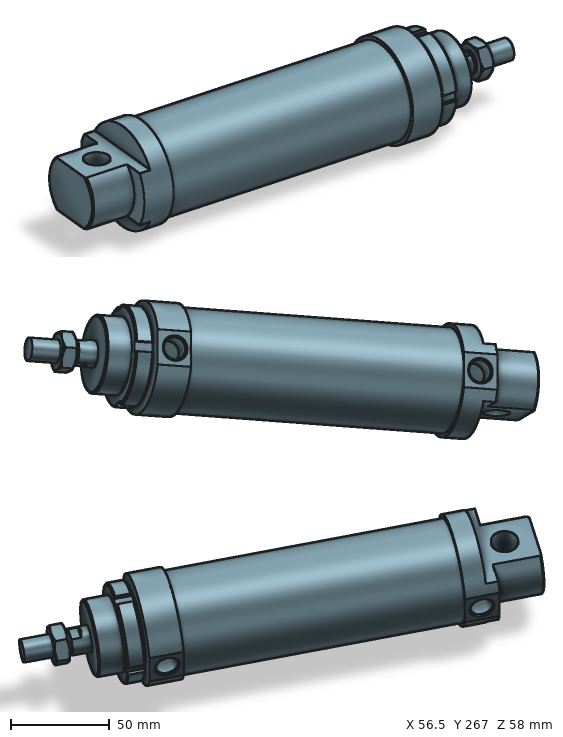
import cadquery as cq
import math

LENGTH = 267.0

TUBE_DIA = 54.0
CAP_DIA = 58.0
BOSS_DIA = 40.0
BOSS_CHAMFER = 0.8
CLEVIS_THICKNESS = 30.0
CLEVIS_HOLE_DIA = 14.0
CLEVIS_HOLE_Y = 16.0
REAR_CAP_START = 25.4
REAR_STEP_Y = 31.8
CAP_LENGTH = 18.0
REAR_CAP_END = REAR_CAP_START + CAP_LENGTH
FRONT_CAP_END = 207.5
FRONT_CAP_START = FRONT_CAP_END - CAP_LENGTH
BOSS_END = 232.0

PORT_FLAT_X = -27.5
PORT_DIA = 11.5
PORT_MOUTH_DIA = 13.0
PORT_DEPTH = 10.7
REAR_PORT_Y = 34.5
FRONT_PORT_Y = 198.0

ROD_DIA = 14.0
ROD_THREAD_DIA = 12.0
ROD_NECK_DIA = 10.1
ROD_FLAT_WIDTH = 12.0
ROD_SHOULDER_Y = 242.2
ROD_FLAT_END_Y = 237.0
ROD_START = FRONT_CAP_START

HEX_ACROSS_FLATS = 19.0
HEX_THICKNESS = 7.5
HEX_START = 244.3
HEX_CHAMFER_ANGLE = 30.0

RING_DIA = 52.0
RING_THICKNESS = 9.5
RING_START = 209.0
RING_CHAMFER = 0.8
SLOT_COUNT = 4
SLOT_WIDTH = 5.3
SLOT_DEPTH = 2.1


def cylinder(diameter, start, end):
    """Cylinder on the Y axis from Y = start to Y = end."""
    return cq.Workplane("XZ", origin=(0, start, 0)).circle(diameter / 2).extrude(start - end)


def block(size_x, start, end, size_z):
    """Box centred on the Y axis from Y = start to Y = end."""
    return cq.Workplane("XY").box(size_x, end - start, size_z).translate((0, (start + end) / 2, 0))


def make_port(port_y):
    """Drill volume of one air port: a blind hole with a 45 degree mouth."""
    mouth = (PORT_MOUTH_DIA - PORT_DIA) / 2
    plane = cq.Workplane("YZ", origin=(PORT_FLAT_X, port_y, 0))
    hole = plane.circle(PORT_DIA / 2).extrude(PORT_DEPTH)
    cone = plane.circle(PORT_MOUTH_DIA / 2).workplane(offset=mouth).circle(PORT_DIA / 2).loft()
    return hole.union(cone)


def make_cap(start, end):
    """Cap with a flat on its -X side."""
    cap = cylinder(CAP_DIA, start, end)
    keep = block(CAP_DIA, start, end, CAP_DIA).translate((PORT_FLAT_X + CAP_DIA / 2, 0, 0))
    return cap.intersect(keep)


def make_rear_end():
    """Rear cap and the clevis that shares its two flats."""
    clevis = cylinder(BOSS_DIA, 0, REAR_CAP_START).faces("<Y").chamfer(BOSS_CHAMFER)
    slab = block(CAP_DIA, 0, REAR_STEP_Y, CLEVIS_THICKNESS)
    collar = make_cap(REAR_CAP_START, REAR_STEP_Y)
    hole = (
        cq.Workplane("XY")
        .center(0, CLEVIS_HOLE_Y)
        .circle(CLEVIS_HOLE_DIA / 2)
        .extrude(CLEVIS_THICKNESS / 2, both=True)
    )
    flatted = clevis.union(collar).intersect(slab).cut(hole)
    return flatted.union(make_cap(REAR_STEP_Y, REAR_CAP_END))


def make_housing():
    tube = cylinder(TUBE_DIA, REAR_CAP_END, FRONT_CAP_START)
    boss = cylinder(BOSS_DIA, FRONT_CAP_END, BOSS_END).faces(">Y").chamfer(BOSS_CHAMFER)
    housing = make_rear_end().union(tube).union(make_cap(FRONT_CAP_START, FRONT_CAP_END)).union(boss)
    for port_y in (REAR_PORT_Y, FRONT_PORT_Y):
        housing = housing.cut(make_port(port_y))
    return housing.cut(cylinder(ROD_DIA, ROD_START, BOSS_END))


def make_rod():
    """Rod with wrench flats facing +Z and -Z, a relief neck and a threaded tip."""
    shank = cylinder(ROD_DIA, ROD_START, ROD_SHOULDER_Y)
    runout = (ROD_DIA - ROD_FLAT_WIDTH) / 2
    half_flat = ROD_FLAT_WIDTH / 2
    wedge = (
        cq.Workplane("YZ")
        .moveTo(ROD_FLAT_END_Y, half_flat)
        .lineTo(ROD_FLAT_END_Y - runout, ROD_DIA / 2)
        .lineTo(ROD_SHOULDER_Y, ROD_DIA / 2)
        .lineTo(ROD_SHOULDER_Y, half_flat)
        .close()
        .extrude(ROD_DIA / 2, both=True)
    )
    shank = shank.cut(wedge).cut(wedge.mirror("XY"))
    neck = cylinder(ROD_NECK_DIA, ROD_SHOULDER_Y, HEX_START)
    tip = cylinder(ROD_THREAD_DIA, HEX_START, LENGTH)
    return shank.union(neck).union(tip)


def make_hex_nut():
    """Hexagonal nut with corners on the X axis, turned off conically at both faces."""
    corner_dia = HEX_ACROSS_FLATS / math.cos(math.pi / 6)
    end = HEX_START + HEX_THICKNESS
    nut = cq.Workplane("XZ", origin=(0, HEX_START, 0)).polygon(6, corner_dia).extrude(-HEX_THICKNESS)
    face_radius = HEX_ACROSS_FLATS / 2
    corner_radius = corner_dia / 2
    bevel = (corner_radius - face_radius) * math.tan(math.radians(HEX_CHAMFER_ANGLE))
    envelope = (
        cq.Workplane("XY")
        .moveTo(0, HEX_START)
        .lineTo(face_radius, HEX_START)
        .lineTo(corner_radius, HEX_START + bevel)
        .lineTo(corner_radius, end - bevel)
        .lineTo(face_radius, end)
        .lineTo(0, end)
        .close()
        .revolve(360, (0, 0, 0), (0, 1, 0))
    )
    return nut.intersect(envelope).cut(cylinder(ROD_THREAD_DIA, HEX_START, end))


def make_mounting_nut():
    """Round nut on the boss with wrench slots spaced evenly around its rim."""
    end = RING_START + RING_THICKNESS
    ring = cylinder(RING_DIA, RING_START, end).faces("<Y or >Y").chamfer(RING_CHAMFER)
    ring = ring.cut(cylinder(BOSS_DIA, RING_START, end))
    slot = block(2 * SLOT_DEPTH, RING_START, end, SLOT_WIDTH).translate((RING_DIA / 2, 0, 0))
    for index in range(SLOT_COUNT):
        ring = ring.cut(slot.rotate((0, 0, 0), (0, 1, 0), index * 360 / SLOT_COUNT))
    return ring


housing = make_housing()
rod = make_rod()
hex_nut = make_hex_nut()
mounting_nut = make_mounting_nut()

result = cq.Compound.makeCompound([housing.val(), rod.val(), hex_nut.val(), mounting_nut.val()])